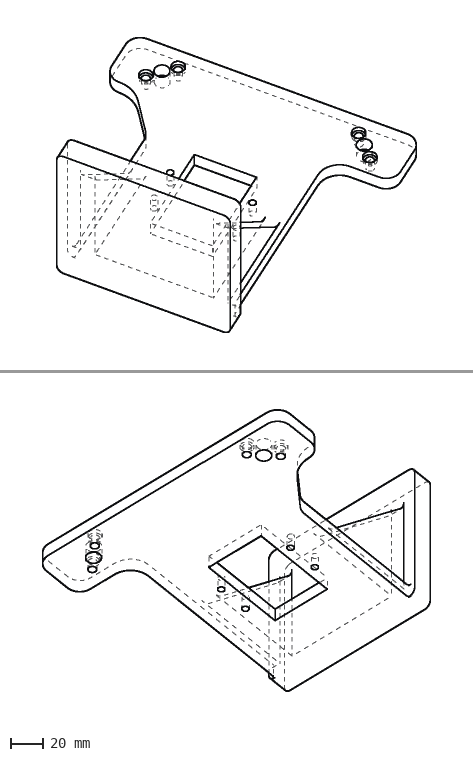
import cadquery as cq
import math


base_thickness = 10.0
base_length = 190.0
neck_width = 110.0
head_width = 200.0
head_depth = 40.0
head_corner_radius = 10.0
right_neck_radius = 15.0
flare_top_x = -79.0
flare_bottom_y = 117.5
flare_bottom_radius = 10.0
flare_arc_gap = 0.001

upright_width = 120.0
upright_thickness = 15.0
upright_height = 110.0
upright_corner_radius = 5.0
neck_root_radius = 2.0

rib_thickness = 10.0
rib_inset = 4.0
rib_leg = 70.0
rib_toe_radius = 10.0

window_width = 43.0
window_length = 63.0
window_center_y = 85.0
window_hole_diameter = 4.5
window_hole_spacing_x = 57.0
window_hole_spacing_y = 23.0

group_center_x = 70.0
group_inset_y = 20.0
center_hole_diameter = 10.0
screw_offset = 7.5
screw_diameter = 5.5
screw_head_diameter = 9.0
screw_head_depth = 3.0

neck_half = neck_width / 2
head_half = head_width / 2
head_bottom_y = base_length - head_depth


def make_base():
    """T-shaped plate whose left shoulder is a slanted flare and right shoulder a rounded corner."""
    plate = (
        cq.Workplane("XY")
        .moveTo(-neck_half, 0)
        .lineTo(neck_half, 0)
        .lineTo(neck_half, head_bottom_y)
        .lineTo(head_half, head_bottom_y)
        .lineTo(head_half, base_length)
        .lineTo(-head_half, base_length)
        .lineTo(-head_half, head_bottom_y)
        .lineTo(flare_top_x, head_bottom_y)
        .lineTo(-neck_half, flare_bottom_y)
        .close()
        .extrude(base_thickness)
    )

    flare_angle = math.atan2(head_bottom_y - flare_bottom_y, -neck_half - flare_top_x)
    flare_tangent_length = flare_top_x + head_half - head_corner_radius - flare_arc_gap
    flare_top_radius = flare_tangent_length / math.tan(flare_angle / 2)

    plate = round_corner(plate, neck_half, head_bottom_y, right_neck_radius)
    plate = round_corner(plate, -neck_half, flare_bottom_y, flare_bottom_radius)
    for x in (-head_half, head_half):
        for y in (head_bottom_y, base_length):
            plate = round_corner(plate, x, y, head_corner_radius)
    return round_corner(plate, flare_top_x, head_bottom_y, flare_top_radius)


def round_corner(body, x, y, radius):
    """Fillet the vertical edge of the base plate that stands at (x, y)."""
    edge = cq.selectors.NearestToPointSelector((x, y, base_thickness / 2))
    return body.edges("|Z").edges(edge).fillet(radius)


def make_upright():
    """Rounded rectangular plate standing at the front of the base."""
    return (
        cq.Workplane("XZ")
        .center(0, upright_height / 2)
        .rect(upright_width, upright_height)
        .extrude(-upright_thickness)
        .edges("|Y")
        .fillet(upright_corner_radius)
    )


def make_rib(x_start):
    """Rib with a 45 degree slope, blended tangentially into both base and upright."""
    slope_angle = math.radians(45)
    tangent_length = rib_toe_radius * math.tan(slope_angle / 2)
    toe_end = rib_leg + tangent_length
    mid_along = toe_end - rib_toe_radius * math.sin(slope_angle / 2)
    mid_rise = rib_toe_radius * (1 - math.cos(slope_angle / 2))
    arc_along = toe_end - rib_toe_radius * math.sin(slope_angle)
    arc_rise = rib_toe_radius * (1 - math.cos(slope_angle))
    return (
        cq.Workplane("YZ", origin=(x_start, upright_thickness, base_thickness))
        .lineTo(toe_end, 0)
        .threePointArc((mid_along, mid_rise), (arc_along, arc_rise))
        .lineTo(arc_rise, arc_along)
        .threePointArc((mid_rise, mid_along), (0, toe_end))
        .close()
        .extrude(rib_thickness)
    )


def make_neck_root(side):
    """Small concave blend between one side of the neck and the back of the upright."""
    neck_side_x = side * neck_half
    arc_middle = neck_root_radius * (1 - math.sqrt(0.5))
    return (
        cq.Workplane("XY")
        .moveTo(neck_side_x, upright_thickness)
        .lineTo(neck_side_x + side * neck_root_radius, upright_thickness)
        .threePointArc(
            (neck_side_x + side * arc_middle, upright_thickness + arc_middle),
            (neck_side_x, upright_thickness + neck_root_radius),
        )
        .close()
        .extrude(base_thickness)
    )


def cut_window(body):
    """Rectangular window with two holes on each side, all through the base."""
    cutter = (
        cq.Workplane("XY")
        .center(0, window_center_y)
        .rect(window_width, window_length)
        .extrude(base_thickness)
    )
    holes = (
        cq.Workplane("XY")
        .center(0, window_center_y)
        .rect(window_hole_spacing_x, window_hole_spacing_y, forConstruction=True)
        .vertices()
        .circle(window_hole_diameter / 2)
        .extrude(base_thickness)
    )
    return body.cut(cutter).cut(holes)


def cut_hole_group(body, side):
    """Through hole flanked by two counterbored screw holes on a diagonal."""
    x = side * group_center_x
    y = base_length - group_inset_y
    screws = [(x - side * screw_offset, y + screw_offset), (x + side * screw_offset, y - screw_offset)]
    top = cq.Workplane("XY", origin=(0, 0, base_thickness))
    center_hole = top.center(x, y).circle(center_hole_diameter / 2).extrude(-base_thickness)
    shanks = top.pushPoints(screws).circle(screw_diameter / 2).extrude(-base_thickness)
    heads = top.pushPoints(screws).circle(screw_head_diameter / 2).extrude(-screw_head_depth)
    return body.cut(center_hole).cut(shanks).cut(heads)


result = make_base().union(make_upright())
rib_outer = neck_half - rib_inset
for rib_start in (-rib_outer, rib_outer - rib_thickness):
    result = result.union(make_rib(rib_start))
for side in (-1, 1):
    result = result.union(make_neck_root(side))
    result = cut_hole_group(result, side)
result = cut_window(result)